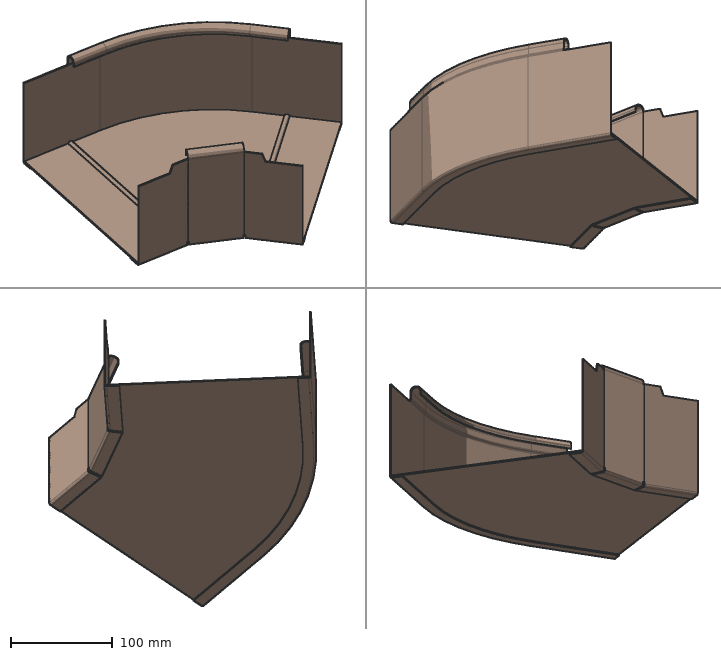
import cadquery as cq
import math

bend_angle = 45.0
outer_radius = 200.46
tray_width = 203.47
end_length = 90.0
inner_end_length = 58.2

wall_sheet = 1.3
plate_sheet = 1.5
fold_radius = 2.5
outer_lip = 13.0
inner_lip = 15.0

total_height = 113.0
wall_height = 98.0
curl_radius = 6.0
curl_height = total_height - curl_radius
curl_tip_height = 104.0

joggle_depth = 1.5
joggle_top = 100.7
rim_setback = 51.5

relief_width = 2.0
relief_height = 4.2

step_top_setback = 40.5
step_bottom_setback = 37.0

rib_setback = 51.7
rib_width = 5.4
rib_height = 2.0

overcut = 1.0

half_turn = math.radians(bend_angle / 2)
bend_centre = cq.Vector(outer_radius, end_length, 0)


def far_side(point):
    """Mirror a plan point across the plane that halves the bend."""
    x = point[0] - bend_centre.x
    y = point[1] - bend_centre.y
    cosine = math.cos(2 * half_turn)
    sine = math.sin(2 * half_turn)
    return (bend_centre.x + cosine * x - sine * y, bend_centre.y - sine * x - cosine * y)


def far_copy(solid):
    """Mirror a solid across the plane that halves the bend."""
    normal = (math.sin(half_turn), math.cos(half_turn), 0)
    return solid.mirror(normal, bend_centre.toTuple())


def outer_path(inset, setback):
    """Plan line beside the outer wall: straight, arc, straight."""
    start = (inset, setback)
    arc_start = (inset, end_length)
    radius = outer_radius - inset
    arc_middle = (
        bend_centre.x - radius * math.cos(half_turn),
        bend_centre.y + radius * math.sin(half_turn),
    )
    return (
        cq.Workplane("XY")
        .moveTo(*start)
        .lineTo(*arc_start)
        .threePointArc(arc_middle, far_side(arc_start))
        .lineTo(*far_side(start))
    )


def inner_points(inset):
    """Plan corners of the line beside the inner wall, near end first."""
    x = tray_width - inset
    corner_y = inner_end_length + inset * math.tan(half_turn / 2)
    near = [(x, 0), (x, corner_y)]
    return near + [far_side(p) for p in reversed(near)]


def folded_section(plane, lip, height):
    """Upright wall with a lip folded inward under the plate."""
    diagonal = 1 - math.sqrt(0.5)
    inside_radius = fold_radius - wall_sheet
    inside_corner = wall_sheet + inside_radius * diagonal
    return (
        cq.Workplane(plane)
        .moveTo(lip, 0)
        .lineTo(fold_radius, 0)
        .threePointArc((fold_radius * diagonal, fold_radius * diagonal), (0, fold_radius))
        .lineTo(0, height)
        .lineTo(wall_sheet, height)
        .lineTo(wall_sheet, fold_radius)
        .threePointArc((inside_corner, inside_corner), (fold_radius, wall_sheet))
        .lineTo(lip, wall_sheet)
        .close()
    )


def add_curl(section, inset, foot_height):
    """Curled rim above a foot, drawn on from the foot's outside point; its outside face is at inset."""
    far_face = inset + 2 * curl_radius
    middle = inset + curl_radius
    return (
        section.lineTo(inset, curl_height)
        .threePointArc((middle, total_height), (far_face, curl_height))
        .lineTo(far_face, curl_tip_height)
        .lineTo(far_face - wall_sheet, curl_tip_height)
        .lineTo(far_face - wall_sheet, curl_height)
        .threePointArc((middle, total_height - wall_sheet), (inset + wall_sheet, curl_height))
        .lineTo(inset + wall_sheet, foot_height)
    )


def add_joggle(section, start, heights, direction):
    """S-bend of two equal arcs, upright at both ends; direction is 1 going inward, -1 outward."""
    half_depth = joggle_depth / 2
    half_height = (joggle_top - wall_height) / 2
    turn = 2 * math.atan2(half_depth, half_height)
    radius = half_height / math.sin(turn)
    sag = radius * (1 - math.cos(turn / 2))
    rise = math.copysign(radius * math.sin(turn / 2), heights[1] - heights[0])
    end = start + direction * joggle_depth
    middle = ((start + end) / 2, sum(heights) / 2)
    return (
        section.threePointArc((start + direction * sag, heights[0] + rise), middle)
        .threePointArc((end - direction * sag, heights[1] - rise), (end, heights[1]))
    )


def build_outer_wall():
    """Curved wall with a lip below and a curled, inset rim above."""
    near_end = cq.Plane(origin=(0, 0, 0), xDir=(1, 0, 0), normal=(0, -1, 0))
    wall = folded_section(near_end, outer_lip, wall_height).sweep(outer_path(0, 0))

    rim_start = cq.Plane(origin=(0, rim_setback, 0), xDir=(1, 0, 0), normal=(0, -1, 0))
    section = cq.Workplane(rim_start).moveTo(0, wall_height)
    section = add_joggle(section, 0, (wall_height, joggle_top), 1)
    section = add_curl(section, joggle_depth, joggle_top)
    section = add_joggle(section, wall_sheet + joggle_depth, (joggle_top, wall_height), -1)
    rim = section.close().sweep(outer_path(0, rim_setback))
    return wall.union(rim)


def build_inner_wall():
    """Wall with two corners, a lip below and a curl on its slanted middle."""
    near_end = cq.Plane(origin=(tray_width, 0, 0), xDir=(-1, 0, 0), normal=(0, 1, 0))
    path = cq.Workplane("XY").polyline(inner_points(0))
    wall = folded_section(near_end, inner_lip, curl_height).sweep(path, transition="right")

    step = (
        cq.Workplane("YZ")
        .moveTo(-overcut, wall_height)
        .lineTo(step_bottom_setback, wall_height)
        .lineTo(step_top_setback, curl_height)
        .lineTo(step_top_setback, total_height)
        .lineTo(-overcut, total_height)
        .close()
        .extrude(inner_lip)
        .translate((tray_width - inner_lip + overcut, 0, 0))
    )
    wall = wall.cut(step).cut(far_copy(step))

    corners = [cq.Vector(*p, 0) for p in inner_points(0)]
    along = corners[2] - corners[1]
    inward = cq.Vector(-along.y, along.x, 0)
    middle_start = cq.Plane(origin=corners[1].toTuple(), xDir=inward.toTuple(), normal=along.toTuple())
    section = cq.Workplane(middle_start).moveTo(0, wall_height)
    curl = add_curl(section, 0, wall_height).close().extrude(along.Length)
    wall = wall.union(curl)

    slot = (
        cq.Workplane("XY")
        .box(2 * (inner_lip + overcut), relief_width, relief_height, centered=(True, True, False))
        .rotate((0, 0, 0), (0, 0, 1), -math.degrees(half_turn) / 2)
        .translate(corners[1].toTuple())
    )
    return wall.cut(slot).cut(far_copy(slot))


def build_plate():
    """Floor resting on both lips, with a rib across each end."""
    points = inner_points(fold_radius)
    plate = outer_path(fold_radius, 0)
    for point in reversed(points):
        plate = plate.lineTo(*point)
    plate = plate.close().extrude(plate_sheet).translate((0, 0, wall_sheet))

    plate_top = wall_sheet + plate_sheet
    rib = (
        cq.Workplane("YZ")
        .moveTo(rib_setback, plate_top)
        .threePointArc(
            (rib_setback + rib_width / 2, plate_top + rib_height),
            (rib_setback + rib_width, plate_top),
        )
        .close()
        .extrude(tray_width - 2 * fold_radius)
        .translate((fold_radius, 0, 0))
    )
    return plate.union(rib).union(far_copy(rib))


outer_wall = build_outer_wall()
inner_wall = build_inner_wall()
plate = build_plate()

result = cq.Compound.makeCompound([
    outer_wall.solids().val(),
    inner_wall.solids().val(),
    plate.solids().val(),
])